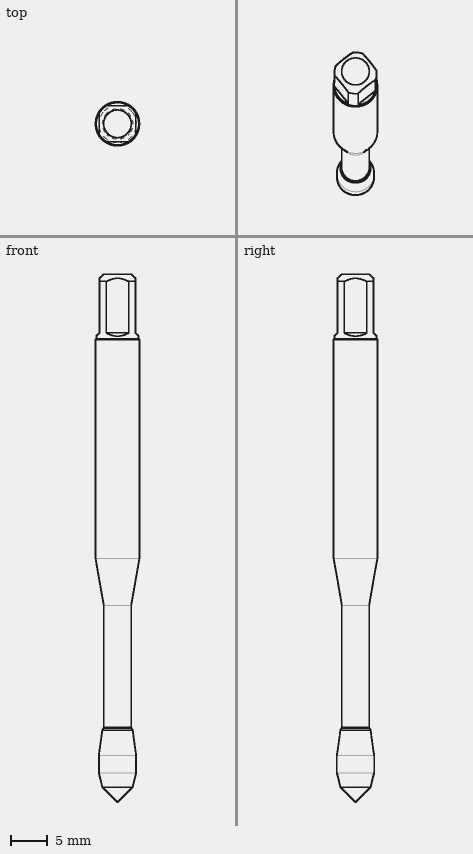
import cadquery as cq
import math

TOTAL_LENGTH = 71.81

SHANK_DIAMETER = 6.0
SQUARE_CORNER_DIAMETER = 5.76
SQUARE_SIDES = 4
SQUARE_ACROSS_FLATS = 4.9
FLAT_LENGTH = 8.0
COLLAR_DEPTH = 8.8
END_CHAMFER = 1.0
SHANK_CHAMFER = (SHANK_DIAMETER - SQUARE_CORNER_DIAMETER) / 2

NECK_DIAMETER = 3.76
SHANK_END_DEPTH = 38.65
NECK_TAPER_ANGLE = 10.0
NECK_TAPER_LENGTH = (SHANK_DIAMETER - NECK_DIAMETER) / 2 / math.tan(math.radians(NECK_TAPER_ANGLE))
FOOT_DIAMETER = 3.86
FOOT_HEIGHT = 0.15

HEAD_DIAMETER = 5.1
HEAD_END_DIAMETER = 4.16
HEAD_LENGTH = 10.05
HEAD_SHOULDER_HEIGHT = 0.25
HEAD_LAND_TOP = 6.42
HEAD_LAND_BOTTOM = 4.02
TIP_HEIGHT = HEAD_END_DIAMETER / 2


def height_below_top(depth):
    """Z of a level lying the given depth under the top face."""
    return TOTAL_LENGTH - depth


def revolve_profile(profile):
    """Solid of revolution about Z from (radius, z) points that start and end on the axis."""
    return cq.Workplane("XZ").polyline(profile).close().revolve(360, (0, 0, 0), (0, 1, 0))


def make_flat_cutter():
    """Material removed for one flat on the +X side, running out at 45 degrees at its lower end."""
    half_flats = SQUARE_ACROSS_FLATS / 2
    flat_bottom = height_below_top(FLAT_LENGTH)
    run_out = SHANK_DIAMETER - half_flats
    return (
        cq.Workplane("XZ")
        .polyline([
            (half_flats, TOTAL_LENGTH),
            (half_flats, flat_bottom),
            (half_flats + run_out, flat_bottom - run_out),
            (half_flats + run_out, TOTAL_LENGTH),
        ])
        .close()
        .extrude(SHANK_DIAMETER / 2, both=True)
    )


def make_square_cutter():
    """The four flat cutters, limited to the height of the drive square."""
    square_zone = (
        cq.Workplane("XY", origin=(0, 0, height_below_top(COLLAR_DEPTH)))
        .circle(SHANK_DIAMETER)
        .extrude(COLLAR_DEPTH)
    )
    flat_cutter = make_flat_cutter().intersect(square_zone)
    cutters = cq.Workplane("XY")
    for index in range(SQUARE_SIDES):
        angle = index * 360 / SQUARE_SIDES
        cutters = cutters.add(flat_cutter.rotate((0, 0, 0), (0, 0, 1), angle))
    return cutters.combine()


def make_shank():
    """Shank with the drive square on top and the reduced neck below."""
    shank_radius = SHANK_DIAMETER / 2
    corner_radius = SQUARE_CORNER_DIAMETER / 2
    neck_radius = NECK_DIAMETER / 2
    shank_end = height_below_top(SHANK_END_DEPTH)
    collar = height_below_top(COLLAR_DEPTH)
    blank = revolve_profile([
        (0, HEAD_LENGTH),
        (FOOT_DIAMETER / 2, HEAD_LENGTH),
        (neck_radius, HEAD_LENGTH + FOOT_HEIGHT),
        (neck_radius, shank_end - NECK_TAPER_LENGTH),
        (shank_radius, shank_end),
        (shank_radius, collar - SHANK_CHAMFER),
        (corner_radius, collar),
        (corner_radius, TOTAL_LENGTH - END_CHAMFER),
        (corner_radius - END_CHAMFER, TOTAL_LENGTH),
        (0, TOTAL_LENGTH),
    ])
    return blank.cut(make_square_cutter())


def make_head():
    """Working head: shoulder, back taper, cylindrical land, lead taper and point."""
    head_radius = HEAD_DIAMETER / 2
    end_radius = HEAD_END_DIAMETER / 2
    return revolve_profile([
        (0, 0),
        (end_radius, TIP_HEIGHT),
        (head_radius, HEAD_LAND_BOTTOM),
        (head_radius, HEAD_LAND_TOP),
        (end_radius, HEAD_LENGTH - HEAD_SHOULDER_HEIGHT),
        (FOOT_DIAMETER / 2, HEAD_LENGTH),
        (0, HEAD_LENGTH),
    ])


shank = make_shank()
head = make_head()
result = cq.Compound.makeCompound([shank.val(), head.val()])